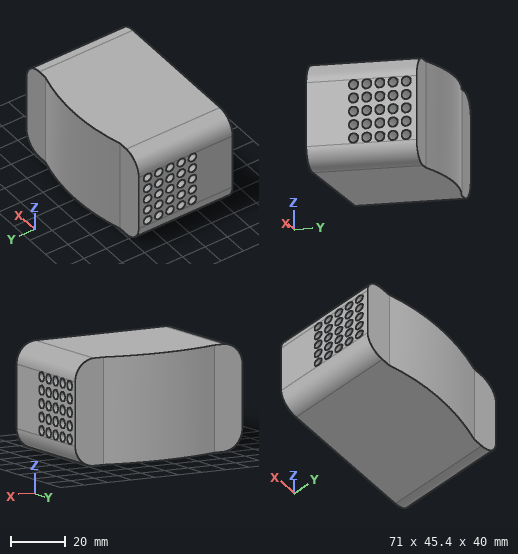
import cadquery as cq

width = 71.0
height = 40.0
total_depth = 45.4
corner_radius = 8.0

body_depth = 41.95
bulge_width = 47.15

hole_diameter = 3.5
holes_per_side = 5
grid_span = 20.0
edge_to_first_hole = 4.0

hole_pitch = grid_span / (holes_per_side - 1)


def make_block():
    """Block from Y = 0 to body_depth with its four long edges rounded."""
    return (
        cq.Workplane("XY")
        .box(width, body_depth, height, centered=(True, False, True))
        .edges("|Y")
        .fillet(corner_radius)
    )


def make_bulge():
    """Bulge standing on the flat +Y face, bounded by a single arc."""
    return (
        cq.Workplane("XY", origin=(0, 0, -height / 2))
        .moveTo(-bulge_width / 2, 0)
        .lineTo(-bulge_width / 2, body_depth)
        .threePointArc((0, total_depth), (bulge_width / 2, body_depth))
        .lineTo(bulge_width / 2, 0)
        .close()
        .extrude(height)
    )


def make_holes():
    """Grid of rods along X, centred in height and set near the +Y face."""
    grid_center_y = body_depth - edge_to_first_hole - grid_span / 2
    return (
        cq.Workplane("YZ", origin=(-width / 2, grid_center_y, 0))
        .rarray(hole_pitch, hole_pitch, holes_per_side, holes_per_side)
        .circle(hole_diameter / 2)
        .extrude(width)
    )


result = make_block().union(make_bulge()).cut(make_holes())